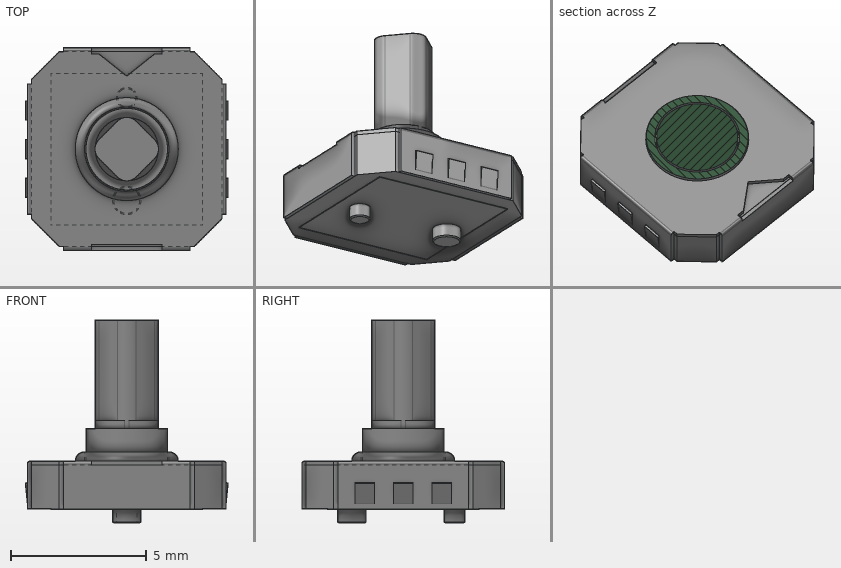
import cadquery as cq

STEM_TOP = 3.75
PEG_BOTTOM = -3.75
COVER_TOP = -1.46
WALL_BOTTOM = -3.225

BASE_HALF_X = 3.525
BASE_HALF_Y = 3.6
CORNER_CHAMFER = 1.03
FOOT_WIDTH = 5.595
FOOT_THICKNESS = 0.02
PEG_OFFSET_Y = 1.9
FRONT_PEG_RADIUS = 0.525
REAR_PEG_RADIUS = 0.38
PEG_CHAMFER = 0.045

SHEET_THICKNESS = 0.15
FLAP_END_GAP = 0.16
FLAP_EDGE_RADIUS = 0.1
NOTCH_WIDTH = 2.61
NOTCH_REACH = 0.08
MARK_WIDTH = 2.055
MARK_LENGTH = 0.82
COLLAR_HOLE_RADIUS = 1.56
BEAD_RADIUS = 0.345

BUMP_COUNT = 3
BUMP_PITCH = 1.425
BUMP_WIDTH = 0.71
BUMP_TOP = -2.25
BUMP_BOTTOM = -3.02
BUMP_HEIGHT = 0.075
BUMP_TOP_RISE = 0.03

SHAFT_WIDTH = 1.95
SHAFT_CORNER_RADIUS = 0.495
NECK_RADIUS = 1.17
NECK_TOP = 0.04
COLLAR_RADIUS = 1.51
COLLAR_TOP = -0.255

BASE_TOP = COVER_TOP - SHEET_THICKNESS
FOOT_BOTTOM = WALL_BOTTOM - FOOT_THICKNESS
FLAP_OUTER_X = BASE_HALF_X + SHEET_THICKNESS
FLAP_OUTER_Y = BASE_HALF_Y + SHEET_THICKNESS
FLAP_HALF_LENGTH_X = BASE_HALF_X - CORNER_CHAMFER - FLAP_END_GAP
FLAP_HALF_LENGTH_Y = BASE_HALF_Y - CORNER_CHAMFER - FLAP_END_GAP


def block(x_range, y_range, z_range):
    """Axis-aligned box between the given low and high limits."""
    lows, highs = zip(x_range, y_range, z_range)
    sizes = [high - low for low, high in zip(lows, highs)]
    return cq.Workplane("XY").box(*sizes, centered=False).translate(lows)


def cylinder(radius, bottom, top):
    """Upright cylinder on the Z axis."""
    return cq.Workplane("XY").workplane(offset=bottom).circle(radius).extrude(top - bottom)


def octagon(bottom, top):
    """Rectangular slab with its four upright corners chamfered."""
    slab = block((-BASE_HALF_X, BASE_HALF_X), (-BASE_HALF_Y, BASE_HALF_Y), (bottom, top))
    return slab.edges("|Z").chamfer(CORNER_CHAMFER)


def make_peg(radius, y):
    """Locating peg with a chamfered tip."""
    peg = cylinder(radius, PEG_BOTTOM, FOOT_BOTTOM)
    return peg.faces("<Z").edges().chamfer(PEG_CHAMFER).translate((0, y, 0))


def make_base():
    half_foot = FOOT_WIDTH / 2
    foot = block((-half_foot, half_foot), (-half_foot, half_foot), (FOOT_BOTTOM, WALL_BOTTOM))
    base = octagon(WALL_BOTTOM, BASE_TOP).union(foot)
    base = base.union(make_peg(FRONT_PEG_RADIUS, -PEG_OFFSET_Y))
    return base.union(make_peg(REAR_PEG_RADIUS, PEG_OFFSET_Y))


def make_flap_pair(outer_half, half_length):
    """Two opposite flaps facing -X and +X, with rounded top outer edges."""
    flaps = block((-outer_half, outer_half), (-half_length, half_length), (WALL_BOTTOM, COVER_TOP))
    flaps = flaps.edges("|Y and >Z").fillet(FLAP_EDGE_RADIUS)
    inner_half = outer_half - SHEET_THICKNESS
    inside = block((-inner_half, inner_half), (-half_length, half_length), (WALL_BOTTOM, BASE_TOP))
    return flaps.cut(inside)


def make_bead():
    """Quarter-round bead standing on the cover around the collar hole."""
    inner = COLLAR_HOLE_RADIUS
    diagonal = BEAD_RADIUS * 0.5**0.5
    return (
        cq.Workplane("XZ")
        .moveTo(inner, BASE_TOP)
        .lineTo(inner, COVER_TOP + BEAD_RADIUS)
        .threePointArc((inner + diagonal, COVER_TOP + diagonal), (inner + BEAD_RADIUS, COVER_TOP))
        .lineTo(inner + BEAD_RADIUS, BASE_TOP)
        .close()
        .revolve(360, (0, 0, 0), (0, 1, 0))
    )


def make_bump(y):
    """Latch bump on the -X flap, tapering down to the flap face."""
    root = -BASE_HALF_X
    face = -FLAP_OUTER_X
    profile = [
        (root, BUMP_TOP),
        (face, BUMP_TOP),
        (face - BUMP_HEIGHT, BUMP_TOP - BUMP_TOP_RISE),
        (face, BUMP_BOTTOM),
        (root, BUMP_BOTTOM),
    ]
    return (
        cq.Workplane("XZ")
        .polyline(profile)
        .close()
        .extrude(BUMP_WIDTH / 2, both=True)
        .translate((0, y, 0))
    )


def make_notch():
    """Cutter for the window through the bend at the middle of the -Y flap."""
    half = NOTCH_WIDTH / 2
    return block((-half, half), (-FLAP_OUTER_Y, NOTCH_REACH - BASE_HALF_Y), (BASE_TOP, COVER_TOP))


def make_mark():
    """Cutter for the triangular index mark that opens into the +Y notch."""
    edge_y = BASE_HALF_Y - NOTCH_REACH
    half = MARK_WIDTH / 2
    return (
        cq.Workplane("XY")
        .workplane(offset=BASE_TOP)
        .polyline([(-half, edge_y), (half, edge_y), (0, edge_y - MARK_LENGTH)])
        .close()
        .extrude(SHEET_THICKNESS)
    )


def make_cover():
    cover = octagon(BASE_TOP, COVER_TOP)
    cover = cover.union(make_flap_pair(FLAP_OUTER_X, FLAP_HALF_LENGTH_Y))
    y_flaps = make_flap_pair(FLAP_OUTER_Y, FLAP_HALF_LENGTH_X)
    cover = cover.union(y_flaps.rotate((0, 0, 0), (0, 0, 1), 90))
    cover = cover.cut(cylinder(COLLAR_HOLE_RADIUS, BASE_TOP, COVER_TOP)).union(make_bead())
    for index in range(BUMP_COUNT):
        bump = make_bump((index - (BUMP_COUNT - 1) / 2) * BUMP_PITCH)
        cover = cover.union(bump).union(bump.mirror("YZ"))
    notch = make_notch()
    return cover.cut(notch).cut(notch.mirror("XZ")).cut(make_mark())


def make_stem():
    shaft = (
        cq.Workplane("XY")
        .workplane(offset=COLLAR_TOP)
        .rect(SHAFT_WIDTH, SHAFT_WIDTH)
        .extrude(STEM_TOP - COLLAR_TOP)
        .edges("|Z")
        .fillet(SHAFT_CORNER_RADIUS)
        .rotate((0, 0, 0), (0, 0, 1), 45)
    )
    neck = cylinder(NECK_RADIUS, COLLAR_TOP, NECK_TOP)
    collar = cylinder(COLLAR_RADIUS, BASE_TOP, COLLAR_TOP)
    return collar.union(neck).union(shaft)


base = make_base()
cover = make_cover()
stem = make_stem()

result = cq.Compound.makeCompound([base.val(), cover.val(), stem.val()])